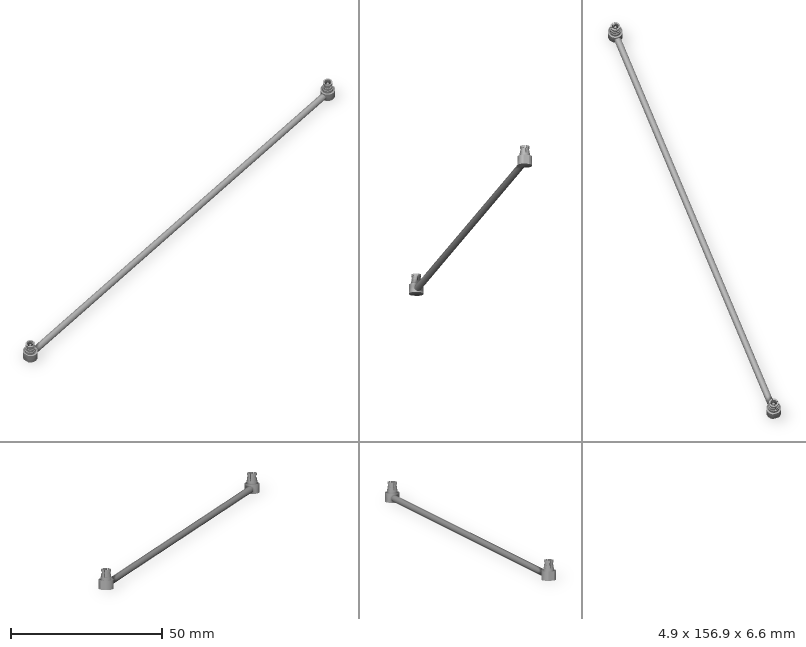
import cadquery as cq

overall_length = 156.9
overall_height = 6.6

housing_diameter = 4.9
housing_flat_width = 1.95
housing_height = 3.1
recess_diameter = 4.2
recess_depth = 0.15
housing_radius = housing_diameter / 2
flat_offset = (housing_radius**2 - (housing_flat_width / 2) ** 2) ** 0.5
connector_offset = overall_length / 2 - flat_offset

cable_diameter = 2.25
cable_height = 1.4

collar_diameter = 3.6
collar_top = 4.05
sleeve_diameter = 3.2
groove_diameter = 2.8
groove_bottom = 5.05
groove_top = 5.9

bore_diameter = 2.21
insulator_diameter = 1.55
insulator_top = 4.6
pin_diameter = 0.7
pin_top = 6.0
slot_width = 0.3
deep_slot_bottom = housing_height
middle_slot_bottom = collar_top
shallow_slot_bottom = groove_bottom
slot_bottoms = (middle_slot_bottom, deep_slot_bottom, middle_slot_bottom, shallow_slot_bottom)


def cylinder(diameter, bottom, top):
    """Vertical cylinder on the connector axis."""
    return cq.Workplane("XY").workplane(offset=bottom).circle(diameter / 2).extrude(top - bottom)


def make_housing():
    """Round body with a flat on the +Y side, away from the cable, and a ring recess on top."""
    beyond_flat = cq.Workplane("XY", origin=(0, flat_offset, 0)).box(
        housing_diameter, housing_diameter, housing_height, centered=(True, False, False)
    )
    body = cylinder(housing_diameter, 0, housing_height)
    recess_bottom = housing_height - recess_depth
    recess = cylinder(recess_diameter, recess_bottom, housing_height)
    recess = recess.cut(cylinder(collar_diameter, recess_bottom, housing_height))
    return body.cut(beyond_flat).cut(recess)


def make_slot(bottom, turn):
    """Upright cut through one side of the sleeve, turned about the connector axis."""
    slot = cq.Workplane("XY", origin=(0, 0, bottom)).box(
        slot_width, collar_diameter, overall_height - bottom, centered=(True, False, False)
    )
    return slot.rotate((0, 0, 0), (0, 0, 1), turn)


def make_plug():
    """Grooved and slotted sleeve around an insulator and a contact pin."""
    plug = cylinder(collar_diameter, housing_height, collar_top)
    plug = plug.union(cylinder(sleeve_diameter, collar_top, groove_bottom))
    plug = plug.union(cylinder(groove_diameter, groove_bottom, groove_top))
    plug = plug.union(cylinder(sleeve_diameter, groove_top, overall_height))
    plug = plug.cut(cylinder(bore_diameter, housing_height, overall_height))
    for index, bottom in enumerate(slot_bottoms):
        plug = plug.cut(make_slot(bottom, 90 * index))
    insulator = cylinder(insulator_diameter, housing_height, insulator_top)
    pin = cylinder(pin_diameter, housing_height, pin_top)
    return plug.union(insulator).union(pin)


def make_cable():
    """Straight cable running between the two connector axes."""
    return (
        cq.Workplane("XZ", origin=(0, connector_offset, cable_height))
        .circle(cable_diameter / 2)
        .extrude(2 * connector_offset)
    )


connector = make_housing().union(make_plug()).translate((0, connector_offset, 0))
result = make_cable()
for turn in (0, 180):
    result = result.union(connector.rotate((0, 0, 0), (0, 0, 1), turn))